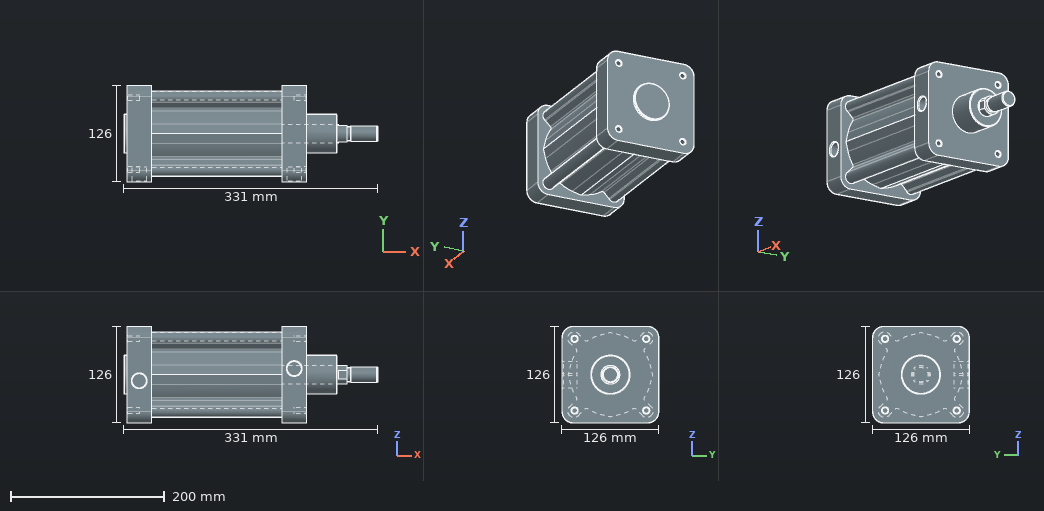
import cadquery as cq
import math


overall_length = 331.0
spigot_length = 4.0
cap_thickness = 32.0
tube_length = 169.8
nose_length = 39.7

front_cap_start = cap_thickness + tube_length
front_cap_end = front_cap_start + cap_thickness
nose_end = front_cap_end + nose_length
rod_end = overall_length - spigot_length

cap_size = 126.0
cap_corner_radius = 15.0
boss_radius = 25.5
boss_chamfer = 1.0

screw_offset = 46.7
screw_radius = 3.5
screw_depth = 16.5
screw_chamfer = 1.0

port_offset = 8.0
port_radius = 9.3
port_depth = 20.0
port_chamfer_width = 1.0
port_chamfer_depth = 1.5

wall_radius = 53.3
sides = 4
quarter_turn = 2 * math.pi / sides
ridge_angle = math.radians(14)
lobe_offset = 47.3
lobe_radius = 8.3
web_half_width = 8.0
web_taper_length = 1.5
web_fillet = 3.0

rod_radius = 12.2
round_stub = 1.5
flat_length = 11.5
flat_half_width = 11.0
neck_length = 4.0
neck_radius = 9.3
thread_radius = 10.3
thread_chamfer_length = 1.5
thread_chamfer_depth = 1.0
neck_chamfer = thread_radius - neck_radius


def cylinder(start, end, radius):
    """Solid cylinder on the X axis from start to end."""
    return cq.Workplane("YZ").workplane(offset=start).circle(radius).extrude(end - start)


def cap_block(start):
    """Square plate with rounded corners, starting at the given X."""
    block = cq.Workplane("YZ").workplane(offset=start).rect(cap_size, cap_size).extrude(cap_thickness)
    return block.edges("|X").fillet(cap_corner_radius)


def chamfered_hole(mouth, direction, radius, depth, chamfer_width, chamfer_depth):
    """Cutter for a blind round hole whose mouth is widened by a chamfer."""
    plane = cq.Plane(origin=mouth, normal=direction)
    hole = cq.Workplane(plane).circle(radius).extrude(depth)
    cone = cq.Solid.makeCone(
        radius + chamfer_width, radius, chamfer_depth, cq.Vector(*mouth), cq.Vector(*direction)
    )
    return hole.union(cq.Workplane(cone))


def cut_screw_holes(cap, face_x, inward):
    """Cut the four screw holes into the cap face at face_x; inward is +1 or -1 along X."""
    for side_y in (-1, 1):
        for side_z in (-1, 1):
            mouth = (face_x, side_y * screw_offset, side_z * screw_offset)
            hole = chamfered_hole(
                mouth, (inward, 0, 0), screw_radius, screw_depth, screw_chamfer, screw_chamfer
            )
            cap = cap.cut(hole)
    return cap


def cut_port(cap, center_x, center_z):
    """Cut the air port into the -Y face of a cap."""
    mouth = (center_x, -cap_size / 2, center_z)
    hole = chamfered_hole(
        mouth, (0, 1, 0), port_radius, port_depth, port_chamfer_width, port_chamfer_depth
    )
    return cap.cut(hole)


def make_rear_cap():
    """Rear cap with a round centring spigot."""
    spigot = cylinder(-spigot_length, 0, boss_radius).faces("<X").chamfer(boss_chamfer)
    cap = cap_block(0).union(spigot)
    cap = cut_screw_holes(cap, 0, 1)
    return cut_port(cap, cap_thickness / 2, -port_offset)


def make_front_cap():
    """Front cap with a long nose, bored through for the piston rod."""
    nose = cylinder(front_cap_end, nose_end, boss_radius).faces(">X").chamfer(boss_chamfer)
    cap = cap_block(front_cap_start).union(nose)
    cap = cap.cut(cylinder(front_cap_start, nose_end, rod_radius))
    cap = cut_screw_holes(cap, front_cap_end, -1)
    return cut_port(cap, front_cap_start + cap_thickness / 2, port_offset)


def polar(radius, angle):
    """Profile point at a radius and an angle from +Y."""
    return (radius * math.cos(angle), radius * math.sin(angle))


def on_diagonal(diagonal, along, across):
    """Profile point at a distance along a corner diagonal and a distance to its left."""
    along_y, along_z = polar(along, diagonal)
    across_y, across_z = polar(across, diagonal + quarter_turn)
    return (along_y + across_y, along_z + across_z)


def make_tube():
    """Extruded tube profile, repeated every quarter turn and filleted where the webs meet the wall."""
    ridge_radius = wall_radius / math.cos(ridge_angle)
    lobe_distance = lobe_offset * math.sqrt(2)
    web_outer = lobe_distance - web_taper_length
    web_root = math.sqrt(wall_radius**2 - web_half_width**2)
    root_angle = quarter_turn / 2 - math.asin(web_half_width / wall_radius)
    wall_middle = (ridge_angle + root_angle) / 2

    outline = cq.Workplane("YZ").workplane(offset=cap_thickness).moveTo(ridge_radius, 0)
    root_points = []
    for turn in range(sides):
        start = turn * quarter_turn
        end = start + quarter_turn
        diagonal = start + quarter_turn / 2
        first_root = on_diagonal(diagonal, web_root, -web_half_width)
        last_root = on_diagonal(diagonal, web_root, web_half_width)
        root_points += [first_root, last_root]

        outline = outline.lineTo(*polar(wall_radius, start + ridge_angle))
        outline = outline.threePointArc(polar(wall_radius, start + wall_middle), first_root)
        outline = outline.lineTo(*on_diagonal(diagonal, web_outer, -web_half_width))
        outline = outline.lineTo(*on_diagonal(diagonal, lobe_distance, -lobe_radius))
        outline = outline.threePointArc(
            on_diagonal(diagonal, lobe_distance + lobe_radius, 0),
            on_diagonal(diagonal, lobe_distance, lobe_radius),
        )
        outline = outline.lineTo(*on_diagonal(diagonal, web_outer, web_half_width))
        outline = outline.lineTo(*last_root)
        outline = outline.threePointArc(
            polar(wall_radius, end - wall_middle), polar(wall_radius, end - ridge_angle)
        )
        if turn < sides - 1:
            outline = outline.lineTo(*polar(ridge_radius, end))
    tube = outline.close().extrude(tube_length)

    tube_middle = cap_thickness + tube_length / 2
    for y, z in root_points:
        root_edge = cq.selectors.NearestToPointSelector((tube_middle, y, z))
        tube = tube.edges(root_edge).fillet(web_fillet)
    return tube


def make_piston_rod():
    """Piston rod with two spanner flats, a thread relief and a threaded end."""
    flat_start = nose_end + round_stub
    neck_start = flat_start + flat_length
    thread_start = neck_start + neck_length

    rod = cylinder(front_cap_start, neck_start, rod_radius)
    cutter = cq.Workplane("XY").box(flat_length, rod_radius, 2 * rod_radius)
    for side in (-1, 1):
        middle = (flat_start + flat_length / 2, side * (flat_half_width + rod_radius / 2), 0)
        rod = rod.cut(cutter.translate(middle))
    neck = cylinder(neck_start, thread_start, neck_radius)
    thread = cylinder(thread_start, rod_end, thread_radius)
    thread = thread.faces("<X").chamfer(neck_chamfer)
    thread = thread.faces(">X").chamfer(thread_chamfer_length, thread_chamfer_depth)
    return rod.union(neck).union(thread)


rear_cap = make_rear_cap()
tube = make_tube()
front_cap = make_front_cap()
piston_rod = make_piston_rod()

result = cq.Compound.makeCompound([rear_cap.val(), tube.val(), front_cap.val(), piston_rod.val()])